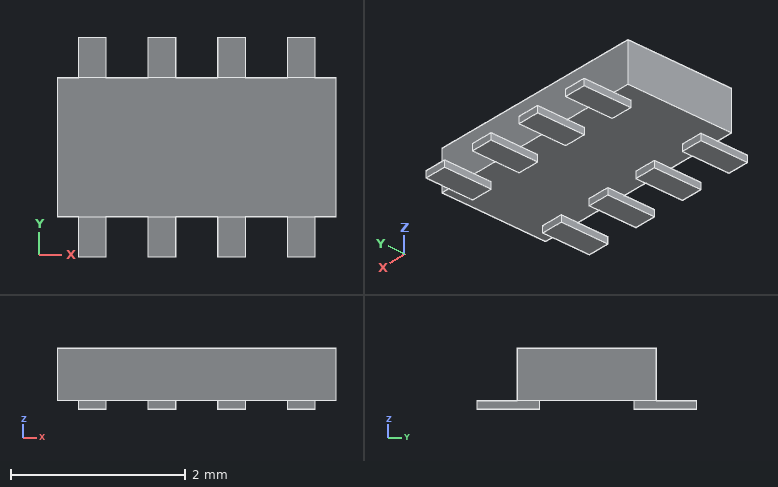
import cadquery as cq

body_length = 3.2
body_width = 1.6
body_height = 0.6

leads_per_row = 4
lead_pitch = body_length / leads_per_row
lead_width = 0.32
lead_length = 0.72
lead_thickness = 0.1
span_over_leads = 2.52

lead_row_y = (span_over_leads - lead_length) / 2


def make_body():
    """Plain block resting on top of the leads."""
    return (
        cq.Workplane("XY")
        .box(body_length, body_width, body_height, centered=(True, True, False))
        .translate((0, 0, lead_thickness))
    )


def make_lead(x, y):
    """Flat strip with its underside at Z = 0, centred on (x, y)."""
    return (
        cq.Workplane("XY")
        .box(lead_width, lead_length, lead_thickness, centered=(True, True, False))
        .translate((x, y, 0))
    )


body = make_body()

leads = []
for row_side in (-1, 1):
    for index in range(leads_per_row):
        lead_x = (index - (leads_per_row - 1) / 2) * lead_pitch
        leads.append(make_lead(lead_x, row_side * lead_row_y).val())

result = cq.Compound.makeCompound([body.val(), *leads])